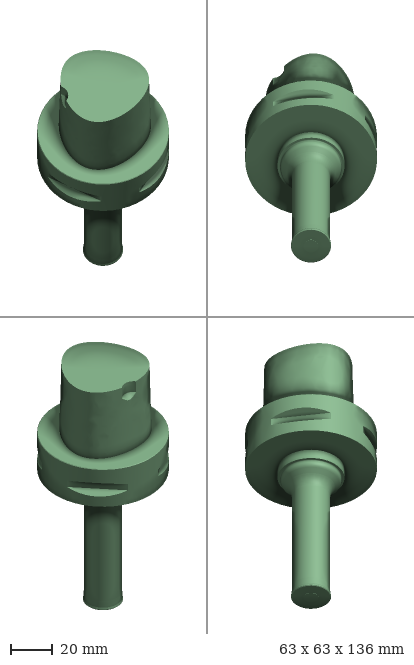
import cadquery as cq
import math

taper_top_z = 38.0
taper_base_z = 3.0
flange_bottom_z = -21.85
collar_bottom_z = -26.8
head_bottom_z = -28.15
flare_bottom_z = -38.0
tip_start_z = -92.6
tip_lip_start_z = -96.3
tip_lip_z = -97.15
tip_face_z = -97.85
tool_bottom_z = -98.0

polygon_radius = 21.95
polygon_eccentricity = 1.32
polygon_curve_points = 90
taper_ratio = 1 / 20

notch_radius = 5.5
notch_inner_y = -17.5
notch_depth = 6.2

flange_radius = 63.0 / 2
flange_chamfer = 0.3
slot_center_z = -12.0
slot_floor_radius = 27.9
slot_floor_height = 3.7
slot_side_angle = 30.0
slot_count = 4

collar_radius = 32.0 / 2
head_radius = 29.0 / 2
head_fillet = 0.5
shank_radius = 18.4 / 2
shoulder_radius = 3.0
flare_angle = 45.0
tip_swell_radius = 9.3
tip_lip_radius = 9.6
tip_chamfer = 0.35
tip_boss_radius = 3.6


def polygon_section(z, radius):
    """Closed wire of the three-lobed polygon at height z."""

    def point(turn):
        angle = 2 * math.pi * turn
        x = radius * math.sin(angle) - polygon_eccentricity * math.sin(2 * angle)
        y = radius * math.cos(angle) + polygon_eccentricity * math.cos(2 * angle)
        return (x, y, 0)

    return cq.Workplane("XY").workplane(offset=z).parametricCurve(point, N=polygon_curve_points)


def make_taper():
    taper_height = taper_top_z - taper_base_z
    top_radius = polygon_radius - taper_height * taper_ratio / 2
    base = polygon_section(0, polygon_radius).extrude(taper_base_z)
    lower = polygon_section(taper_base_z, polygon_radius).val()
    upper = polygon_section(taper_top_z, top_radius).val()
    cone = cq.Solid.makeLoft([lower, upper], True)
    return base.union(cq.Workplane(obj=cone))


def make_notch():
    """Vertical round cutter with a 90 degree point."""
    floor_z = taper_top_z - notch_depth
    return (
        cq.Workplane("XZ")
        .moveTo(0, taper_top_z)
        .lineTo(notch_radius, taper_top_z)
        .lineTo(notch_radius, floor_z)
        .lineTo(0, floor_z - notch_radius)
        .close()
        .revolve(360, (0, 0, 0), (0, 1, 0))
        .translate((0, notch_inner_y - notch_radius, 0))
    )


def make_slot():
    """Straight slot across the +X side of the flange, widening outward."""
    depth = flange_radius - slot_floor_radius
    half_floor = slot_floor_height / 2
    half_mouth = half_floor + depth * math.tan(math.radians(slot_side_angle))
    return (
        cq.Workplane("XZ")
        .moveTo(slot_floor_radius, slot_center_z - half_floor)
        .lineTo(flange_radius, slot_center_z - half_mouth)
        .lineTo(flange_radius, slot_center_z + half_mouth)
        .lineTo(slot_floor_radius, slot_center_z + half_floor)
        .close()
        .extrude(flange_radius, both=True)
    )


def make_holder():
    flange = cq.Workplane("XY").circle(flange_radius).extrude(flange_bottom_z)
    flange = flange.faces(">Z").chamfer(flange_chamfer)
    slot = make_slot()
    pitch = 360 / slot_count
    for index in range(slot_count):
        flange = flange.cut(slot.rotate((0, 0, 0), (0, 0, 1), (index + 0.5) * pitch))
    return flange.union(make_taper().cut(make_notch()))


def make_tool():
    angle = math.radians(flare_angle)
    flare_height = head_bottom_z - flare_bottom_z
    cone_height = (head_radius - shank_radius) / math.tan(angle)
    neck_radius = (flare_height - cone_height) / math.tan(angle / 2) - shoulder_radius

    def on_shoulder(turn):
        x = head_radius - shoulder_radius * (1 - math.cos(turn))
        return (x, head_bottom_z - shoulder_radius * math.sin(turn))

    def on_neck(turn):
        x = shank_radius + neck_radius * (1 - math.cos(turn))
        return (x, flare_bottom_z + neck_radius * math.sin(turn))

    fillet_center_x = head_radius + head_fillet
    fillet_center_z = collar_bottom_z - head_fillet
    fillet_middle = head_fillet * math.sqrt(0.5)

    return (
        cq.Workplane("XZ")
        .moveTo(0, flange_bottom_z)
        .lineTo(collar_radius, flange_bottom_z)
        .lineTo(collar_radius, collar_bottom_z)
        .lineTo(fillet_center_x, collar_bottom_z)
        .threePointArc(
            (fillet_center_x - fillet_middle, fillet_center_z + fillet_middle),
            (head_radius, fillet_center_z),
        )
        .lineTo(head_radius, head_bottom_z)
        .threePointArc(on_shoulder(angle / 2), on_shoulder(angle))
        .lineTo(*on_neck(angle))
        .threePointArc(on_neck(angle / 2), (shank_radius, flare_bottom_z))
        .lineTo(shank_radius, tip_start_z)
        .lineTo(tip_swell_radius, tip_lip_start_z)
        .lineTo(tip_lip_radius, tip_lip_z)
        .lineTo(tip_lip_radius, tip_face_z + tip_chamfer)
        .lineTo(tip_lip_radius - tip_chamfer, tip_face_z)
        .lineTo(tip_boss_radius, tip_face_z)
        .lineTo(tip_boss_radius, tool_bottom_z)
        .lineTo(0, tool_bottom_z)
        .close()
        .revolve(360, (0, 0, 0), (0, 1, 0))
    )


holder = make_holder()
tool = make_tool()

result = cq.Compound.makeCompound([holder.val(), tool.val()])